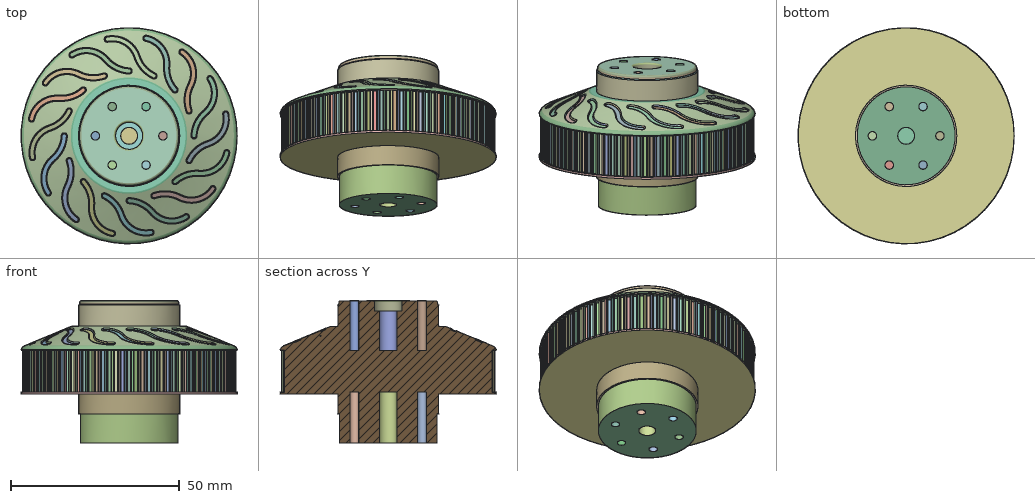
import cadquery as cq
import math

total_height = 42.15
spigot_height = 8.65
flange_bottom = 14.45
flange_thickness = 0.6
teeth_bottom = flange_bottom + flange_thickness
teeth_top = 27.4
rim_top = 27.7
cone_top = 34.6
cap_height = 1.35
cap_bottom = total_height - cap_height

spigot_diameter = 29.0
hub_diameter = 30.0
cap_diameter = 29.4
cap_rounding = 0.6
flange_diameter = 64.02
rim_lower_diameter = 63.74
shoulder_diameter = 62.2
cone_top_diameter = 34.0
cone_angle = 22.5
cone_top_rounding = 1.2

tooth_count = 100
belt_pitch = 2.0
pitch_line_offset = 0.254
tooth_tip_radius = tooth_count * belt_pitch / (2 * math.pi) - pitch_line_offset
gap_mouth_half_width = 0.747
gap_tip_rounding = 0.15
gap_flank_top = (0.598, 0.131)
gap_flank_radius = 1.0
gap_flank_bottom = (0.452, 0.540)
gap_depth = 0.764
core_radius = tooth_tip_radius - 2 * gap_depth

bore_diameter = 5.0
counterbore_diameter = 8.0
counterbore_depth = 3.0
counterbore_rounding = 0.5
bolt_hole_count = 6
bolt_hole_diameter = 2.5
bolt_circle_diameter = 20.0

groove_count = 16
groove_floor_width = 1.25
groove_depth = 0.35
groove_chamfer = 0.3
groove_start = (-7.33, -17.75)
groove_inner_bend = (-4.23, -20.09)
groove_crossover = (-2.33, -23.44)
groove_end = (6.45, -28.6)

AXIS_START = (0, 0, 0)
AXIS_END = (0, 0, 1)
tolerance = 0.001


def cone_height(radius):
    """Height of the cone surface at a distance from the axis."""
    return cone_top - (radius - cone_top_diameter / 2) * math.tan(math.radians(cone_angle))


def circular_copies(shape, count):
    """Copies of a shape spread evenly around the axis."""
    return [shape.rotate(AXIS_START, AXIS_END, i * 360 / count) for i in range(count)]


def make_body():
    """Turned body: spigot, hub, flange, core of the toothed belt, cone and cap."""
    hub_radius = hub_diameter / 2
    spigot_radius = spigot_diameter / 2
    flange_radius = flange_diameter / 2
    rim_lower_radius = rim_lower_diameter / 2
    shoulder_radius = shoulder_diameter / 2
    cap_radius = cap_diameter / 2
    body = (
        cq.Workplane("XZ")
        .moveTo(cone_top_diameter / 2, cone_top)
        .lineTo(shoulder_radius, cone_height(shoulder_radius))
        .tangentArcPoint((flange_radius, rim_top), relative=False)
        .lineTo(rim_lower_radius, teeth_top)
        .lineTo(core_radius, teeth_top)
        .lineTo(core_radius, teeth_bottom)
        .lineTo(flange_radius, teeth_bottom)
        .lineTo(flange_radius, flange_bottom)
        .lineTo(hub_radius, flange_bottom)
        .lineTo(hub_radius, spigot_height)
        .lineTo(spigot_radius, spigot_height)
        .lineTo(spigot_radius, 0)
        .lineTo(0, 0)
        .lineTo(0, total_height)
        .lineTo(cap_radius, total_height)
        .lineTo(cap_radius, cap_bottom + hub_radius - cap_radius)
        .lineTo(hub_radius, cap_bottom)
        .lineTo(hub_radius, cone_top)
        .close()
        .revolve(360, (0, 0, 0), (0, 1, 0))
    )
    body = body.faces(">Z").edges().fillet(cap_rounding)
    cone_top_edges = [
        edge
        for edge in body.edges("%CIRCLE").vals()
        if abs(edge.radius() - cone_top_diameter / 2) < tolerance
    ]
    return body.newObject(cone_top_edges).fillet(cone_top_rounding)


def make_groove_cutter():
    """Round-ended wavy strip whose underside runs parallel to the cone, below its surface."""
    outer_radius = flange_diameter / 2
    above_groove_floor = (
        cq.Workplane("XZ")
        .moveTo(0, cone_height(0) - groove_depth)
        .lineTo(outer_radius, cone_height(outer_radius) - groove_depth)
        .lineTo(outer_radius, total_height)
        .lineTo(0, total_height)
        .close()
        .revolve(360, (0, 0, 0), (0, 1, 0))
    )
    strip = (
        cq.Workplane("XY")
        .moveTo(*groove_start)
        .threePointArc(groove_inner_bend, groove_crossover)
        .tangentArcPoint(groove_end, relative=False)
        .offset2D(groove_floor_width / 2)
        .extrude(total_height)
    )
    return strip.intersect(above_groove_floor).val()


def lies_on_cone(edge):
    """True for an edge that runs along the cone surface."""
    for fraction in (0.0, 0.37, 1.0):
        point = edge.positionAt(fraction)
        if abs(cone_height(math.hypot(point.x, point.y)) - point.z) > tolerance:
            return False
    return True


def cut_grooves(body):
    """Cut the wavy grooves and chamfer their upper edges."""
    body = body.newObject([body.val().cut(*circular_copies(make_groove_cutter(), groove_count))])
    upper_edges = [
        edge
        for edge in body.edges("not %CIRCLE").vals()
        if edge.geomType() == "BSPLINE" and lies_on_cone(edge)
    ]
    return body.newObject(upper_edges).chamfer(groove_chamfer)


def make_belt_teeth():
    """Toothed disc that carries the belt, with a gap centred on every multiple of the pitch angle."""

    def place(depth, offset, angle):
        """Point at a depth below the tooth tips and a sideways offset from the gap's centre line."""
        distance = tooth_tip_radius - depth
        return (
            distance * math.cos(angle) - offset * math.sin(angle),
            distance * math.sin(angle) + offset * math.cos(angle),
        )

    top_offset, top_depth = gap_flank_top
    bottom_offset, bottom_depth = gap_flank_bottom
    pitch_angle = 2 * math.pi / tooth_count
    outline = cq.Workplane("XY", origin=(0, 0, teeth_bottom)).moveTo(*place(0, -gap_mouth_half_width, 0))
    for i in range(tooth_count):
        angle = i * pitch_angle
        outline = (
            outline
            .radiusArc(place(top_depth, -top_offset, angle), gap_tip_rounding)
            .radiusArc(place(bottom_depth, -bottom_offset, angle), -gap_flank_radius)
            .threePointArc(place(gap_depth, 0, angle), place(bottom_depth, bottom_offset, angle))
            .radiusArc(place(top_depth, top_offset, angle), -gap_flank_radius)
            .radiusArc(place(0, gap_mouth_half_width, angle), gap_tip_rounding)
        )
        if i < tooth_count - 1:
            outline = outline.lineTo(*place(0, -gap_mouth_half_width, angle + pitch_angle))
    return outline.close().extrude(teeth_top - teeth_bottom)


def cut_holes(body):
    """Stepped centre bore with a rounded mouth, and the ring of through bolt holes."""
    top = cq.Workplane("XY", origin=(0, 0, total_height))
    body = body.cut(top.circle(counterbore_diameter / 2).extrude(-counterbore_depth))
    mouth = [
        edge
        for edge in body.faces(">Z").edges("%CIRCLE").vals()
        if abs(edge.radius() - counterbore_diameter / 2) < tolerance
    ]
    body = body.newObject(mouth).fillet(counterbore_rounding)
    bore = top.circle(bore_diameter / 2).extrude(-total_height)
    bolt_holes = (
        top.polarArray(bolt_circle_diameter / 2, 0, 360, bolt_hole_count)
        .circle(bolt_hole_diameter / 2)
        .extrude(-total_height)
    )
    return body.cut(bore).cut(bolt_holes)


turned_body = cut_grooves(cut_holes(make_body()))
result = turned_body.newObject([turned_body.val().fuse(make_belt_teeth().val())])